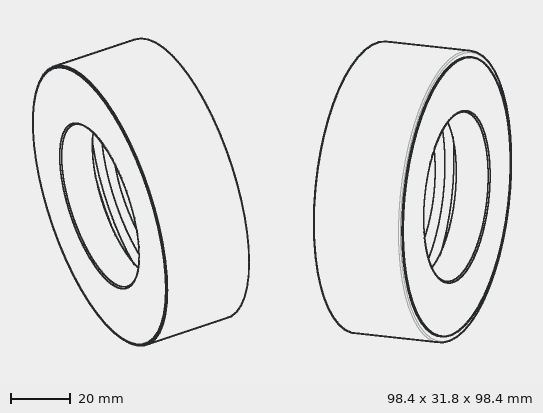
import cadquery as cq
import math

outer_diameter = 98.42
bore_diameter = 57.15
width = 31.75
washer_thickness = 12.05
washer_outer_diameter = 97.15
rear_boss_diameter = 94.36
rear_boss_height = 0.4
rear_boss_chamfer = 0.2
bore_chamfer = 0.5
shell_front_chamfer = 0.35
shell_rear_fillet = 0.5
raceway_inner_radius = 37.1
raceway_section_radius = 5.5

outer_radius = outer_diameter / 2
bore_radius = bore_diameter / 2
washer_outer_radius = washer_outer_diameter / 2
rear_boss_radius = rear_boss_diameter / 2
shell_wall = outer_radius - washer_outer_radius
front_face = -width / 2
rear_face = width / 2
front_washer_inside = front_face + washer_thickness
rear_washer_inside = rear_face - washer_thickness
shell_rear = rear_face - rear_boss_height
lip_inside = shell_rear - shell_wall
raceway_center_radius = raceway_inner_radius + math.sqrt(
    raceway_section_radius**2 - rear_washer_inside**2
)


def revolve_about_axis(profile):
    """Close a radius-by-Y profile and turn it a full circle about the Y axis."""
    return profile.close().revolve(360, (0, 0, 0), (0, 1, 0))


def make_raceway_ring():
    """Ring centred in the gap, which cuts a raceway groove into each washer."""
    section = cq.Workplane("XY").center(raceway_center_radius, 0).circle(raceway_section_radius)
    return section.revolve(360, (-raceway_center_radius, 0, 0), (-raceway_center_radius, 1, 0))


def make_shell():
    """Thin band around both washers, with an inward lip at the rear."""
    profile = (
        cq.Workplane("XY")
        .moveTo(washer_outer_radius, front_face)
        .lineTo(outer_radius - shell_front_chamfer, front_face)
        .lineTo(outer_radius, front_face + shell_front_chamfer)
        .lineTo(outer_radius, shell_rear - shell_rear_fillet)
        .radiusArc((outer_radius - shell_rear_fillet, shell_rear), -shell_rear_fillet)
        .lineTo(rear_boss_radius, shell_rear)
        .lineTo(rear_boss_radius, lip_inside)
        .lineTo(washer_outer_radius, lip_inside)
    )
    return revolve_about_axis(profile)


def make_front_washer():
    """Washer with a chamfered front bore edge and a raceway groove in its inside face."""
    profile = (
        cq.Workplane("XY")
        .moveTo(bore_radius + bore_chamfer, front_face)
        .lineTo(washer_outer_radius, front_face)
        .lineTo(washer_outer_radius, front_washer_inside)
        .lineTo(bore_radius, front_washer_inside)
        .lineTo(bore_radius, front_face + bore_chamfer)
    )
    return revolve_about_axis(profile).cut(make_raceway_ring())


def make_rear_washer():
    """Grooved washer with a boss that stands slightly proud of the shell lip."""
    profile = (
        cq.Workplane("XY")
        .moveTo(bore_radius, rear_washer_inside)
        .lineTo(washer_outer_radius, rear_washer_inside)
        .lineTo(washer_outer_radius, lip_inside)
        .lineTo(rear_boss_radius, lip_inside)
        .lineTo(rear_boss_radius, rear_face - rear_boss_chamfer)
        .lineTo(rear_boss_radius - rear_boss_chamfer, rear_face)
        .lineTo(bore_radius + bore_chamfer, rear_face)
        .lineTo(bore_radius, rear_face - bore_chamfer)
    )
    return revolve_about_axis(profile).cut(make_raceway_ring())


shell = make_shell()
front_washer = make_front_washer()
rear_washer = make_rear_washer()

result = cq.Compound.makeCompound([shell.val(), front_washer.val(), rear_washer.val()])